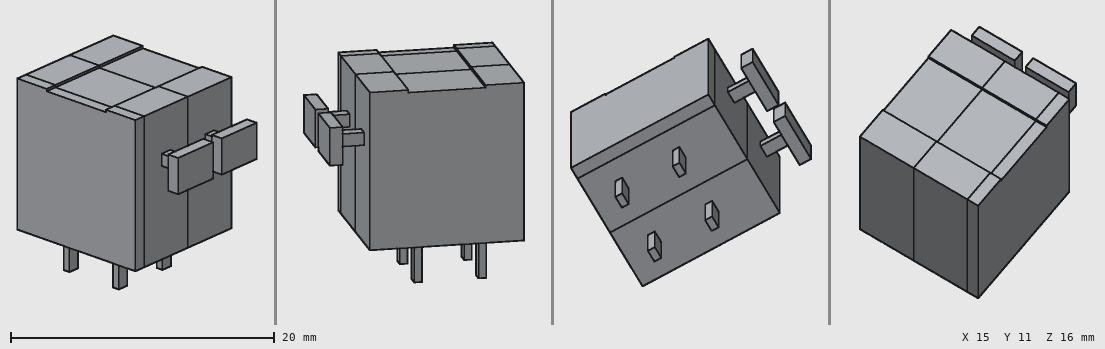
import cadquery as cq

housing_length = 12.0
housing_height = 12.5
recess_length = 6.0
recess_start = 3.0
recess_depth = 0.2

module_width = 5.0
module_count = 2
end_plate_width = 1.0

pin_thickness = 0.6
pin_width = 1.0
pin_length = 3.5
pin_pitch = 5.0
first_pin_x = 2.7
pin_y = 2.1

stem_length = 2.0
stem_size = 1.0
head_thickness = 1.0
head_width = 4.0
head_height = 3.0
button_y = module_width / 2
button_z = 8.25


def box_from(x, y, z, length, width, height):
    """Box with its lower corner in X at x, centred on y, its underside at z."""
    return (
        cq.Workplane("XY")
        .box(length, width, height, centered=(False, True, False))
        .translate((x, y, z))
    )


def housing_slice(start_y, width):
    """Block with a shallow recess across its top, from start_y towards +Y."""
    middle_y = start_y + width / 2
    block = box_from(0, middle_y, 0, housing_length, width, housing_height)
    recess = box_from(
        recess_start, middle_y, housing_height - recess_depth, recess_length, width, recess_depth
    )
    return block.cut(recess)


def solder_pin(x, y):
    return box_from(x - pin_thickness / 2, y, -pin_length, pin_thickness, pin_width, pin_length)


def push_button(y):
    """Square stem with a wider rectangular head."""
    stem = box_from(
        housing_length, y, button_z - stem_size / 2, stem_length, stem_size, stem_size
    )
    head = box_from(
        housing_length + stem_length, y, button_z - head_height / 2,
        head_thickness, head_width, head_height,
    )
    return stem.union(head)


def terminal_module(start_y):
    """Housing slice with its two solder pins and its push button."""
    module = housing_slice(start_y, module_width)
    for pin_x in (first_pin_x, first_pin_x + pin_pitch):
        module = module.union(solder_pin(pin_x, start_y + pin_y))
    return module.union(push_button(start_y + button_y))


end_plate = housing_slice(-end_plate_width, end_plate_width)
modules = [terminal_module(index * module_width) for index in range(module_count)]

result = cq.Compound.makeCompound([end_plate.val(), *[module.val() for module in modules]])